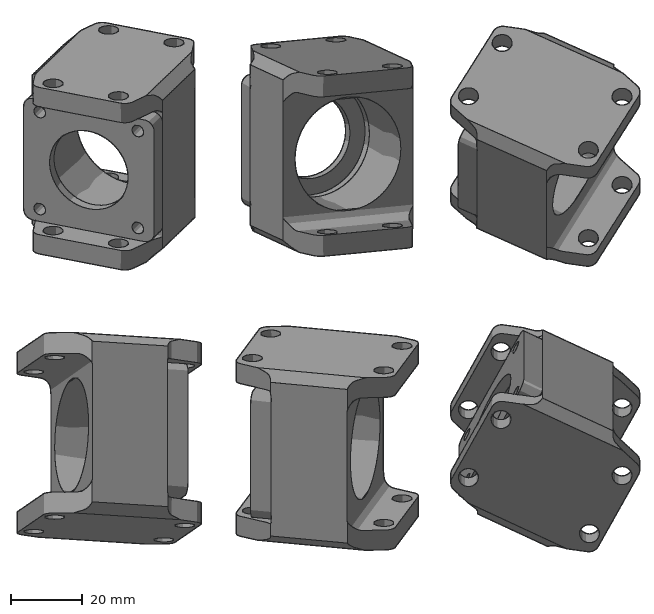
import cadquery as cq
import math

width = 40.0
depth = 46.0
height = 51.6

block_depth = 22.0
foot_thickness = 6.0
edge_chamfer_x = 3.0
edge_chamfer_z = 2.85
rear_fillet = 3.95
front_fillet = 1.0

foot_end_width = 29.1
taper_angle = 18.4
outline_radius = 3.0

foot_hole_diameter = 5.5
foot_hole_x = 10.0
foot_hole_y = 19.0

bore_front_diameter = 33.3
bore_rear_diameter = 32.5

plate_thickness = 5.95
plate_corner_radius = 3.0
lip_diameter = 24.0
lip_thickness = 3.0
recess_diameter = bore_front_diameter

screw_spacing = 30.05
clearance_diameter = 3.5
tapped_diameter = 2.8
tapped_depth = 5.95

block_front = -block_depth / 2
block_rear = block_depth / 2
foot_underside = height / 2 - foot_thickness
plate_height = 2 * (foot_underside - front_fillet)
plate_front = block_front - plate_thickness


def foot_outline():
    """Vertical prism with tapered feet, left wider than the block at its waist."""
    end_x = foot_end_width / 2
    end_y = depth / 2
    waist_x = end_x + (end_y - block_rear) * math.tan(math.radians(taper_angle))

    waist_end_x = width
    rear_right = [(end_x, end_y), (waist_x, block_rear), (waist_end_x, block_rear)]
    right = rear_right + [(x, -y) for x, y in reversed(rear_right)]
    left = [(-x, -y) for x, y in right]
    prism = cq.Workplane("XY").polyline(right + left).close().extrude(height / 2, both=True)

    selection_x = (waist_x + waist_end_x) / 2
    foot_corners = cq.selectors.BoxSelector(
        (-selection_x, -depth, -height), (selection_x, depth, height)
    )
    return prism.edges("|Z").edges(foot_corners).fillet(outline_radius)


def gap_between_feet(inner_y, outer_y, radius, inner_side):
    """Space between the feet on one side of the block, rounded where it meets the block."""
    return (
        cq.Workplane("XY")
        .box(width, abs(outer_y - inner_y), 2 * foot_underside)
        .translate((0, (inner_y + outer_y) / 2, 0))
        .faces(inner_side)
        .edges("|X")
        .fillet(radius)
    )


def side_profile():
    """I-shaped prism along X: block, two feet and the fillets between them."""
    blank = cq.Workplane("XY").box(width, depth, height)
    rear_gap = gap_between_feet(block_rear, depth, rear_fillet, "<Y")
    front_gap = gap_between_feet(block_front, -depth, front_fillet, ">Y")
    return blank.cut(rear_gap).cut(front_gap)


def chamfered_envelope():
    """Prism along Y with the four long edges of the housing chamfered."""
    corner = [(width / 2, height / 2 - edge_chamfer_z), (width / 2 - edge_chamfer_x, height / 2)]
    top = corner + [(-x, z) for x, z in reversed(corner)]
    bottom = [(-x, -z) for x, z in top]
    return cq.Workplane("XZ").polyline(top + bottom).close().extrude(depth, both=True)


def cylinder_along_y(diameter, start_y, length):
    """Cylinder on the bore axis, running toward +Y from start_y."""
    return cq.Workplane("XZ", origin=(0, start_y, 0)).circle(diameter / 2).extrude(-length)


def screw_holes(diameter, start_y, length):
    """Four parallel cylinders on the square screw pattern."""
    return (
        cq.Workplane("XZ", origin=(0, start_y, 0))
        .rect(screw_spacing, screw_spacing, forConstruction=True)
        .vertices()
        .circle(diameter / 2)
        .extrude(-length)
    )


def make_housing():
    body = foot_outline().intersect(side_profile()).intersect(chamfered_envelope())
    bore = cq.Solid.makeCone(
        bore_front_diameter / 2,
        bore_rear_diameter / 2,
        block_depth,
        pnt=cq.Vector(0, block_front, 0),
        dir=cq.Vector(0, 1, 0),
    )
    foot_holes = (
        cq.Workplane("XY")
        .rect(2 * foot_hole_x, 2 * foot_hole_y, forConstruction=True)
        .vertices()
        .circle(foot_hole_diameter / 2)
        .extrude(height, both=True)
    )
    tapped_holes = screw_holes(tapped_diameter, block_front, tapped_depth)
    return body.cut(bore).cut(foot_holes).cut(tapped_holes)


def make_front_plate():
    plate = (
        cq.Workplane("XY")
        .box(width, plate_thickness, plate_height)
        .translate((0, block_front - plate_thickness / 2, 0))
        .edges("|Y").fillet(plate_corner_radius)
    )
    bore = cylinder_along_y(lip_diameter, plate_front, plate_thickness)
    recess = cylinder_along_y(
        recess_diameter, plate_front + lip_thickness, plate_thickness - lip_thickness
    )
    clearance_holes = screw_holes(clearance_diameter, plate_front, plate_thickness)
    return plate.cut(bore).cut(recess).cut(clearance_holes)


housing = make_housing()
front_plate = make_front_plate()
result = cq.Compound.makeCompound([housing.val(), front_plate.val()])